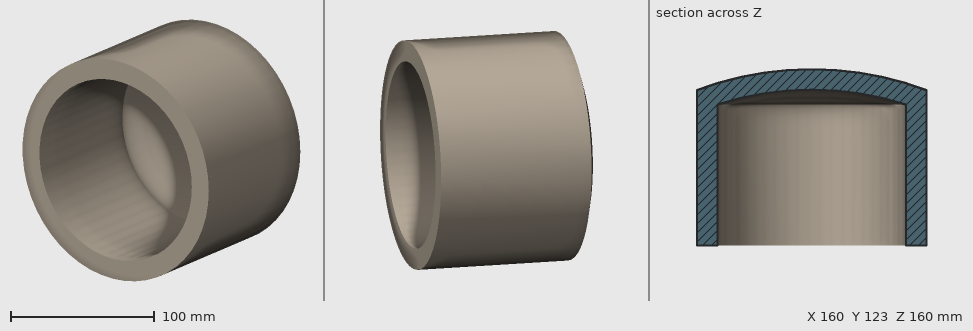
import cadquery as cq
import math

outer_diameter = 160.0
wall = 14.5
total_length = 123.0
dome_height = 14.5

outer_radius = outer_diameter / 2
bore_radius = outer_radius - wall

outer_dome_radius = (outer_radius**2 + dome_height**2) / (2 * dome_height)
inner_dome_radius = outer_dome_radius - wall
dome_center_y = total_length - outer_dome_radius


def domed_cylinder(radius, sphere_radius):
    """Solid cylinder along +Y from the open face, ended by a spherical dome."""
    shoulder_y = dome_center_y + math.sqrt(sphere_radius**2 - radius**2)
    crown_y = dome_center_y + sphere_radius
    half_angle = math.asin(radius / sphere_radius) / 2
    arc_middle = (
        sphere_radius * math.sin(half_angle),
        dome_center_y + sphere_radius * math.cos(half_angle),
    )
    profile = (
        cq.Workplane("XY")
        .lineTo(radius, 0)
        .lineTo(radius, shoulder_y)
        .threePointArc(arc_middle, (0, crown_y))
        .close()
    )
    return profile.revolve(360, (0, 0, 0), (0, 1, 0))


body = domed_cylinder(outer_radius, outer_dome_radius)
cavity = domed_cylinder(bore_radius, inner_dome_radius)
result = body.cut(cavity)